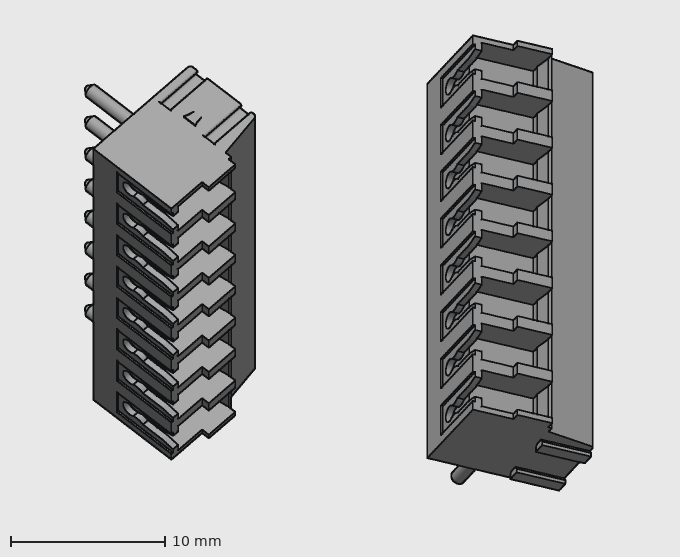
import cadquery as cq
import math

poles = 8
pitch = 3.5
body_height = poles * pitch
body_width = 6.95
body_depth = 9.15
pole_centres = [(pole + 0.5) * pitch for pole in range(poles)]

rear_band_depth = 3.5
rear_band_y = body_depth - rear_band_depth
slope_bottom_x = 6.45
slope_angle = 9.0
slope_top_x = slope_bottom_x - rear_band_depth * math.tan(math.radians(slope_angle))
ledge_step = 0.25
ledge_y = rear_band_y - ledge_step
rear_corner_radius = 0.25

tab_length = 0.6
tab_width = 2.5
tab_thickness = 0.8

pin_length = 4.5
pin_radius = 0.49
pin_y = ledge_y - tab_width / 2
pin_tip_length = 0.36
pin_tip_radius = 0.18

recess_left_x = 2.07
recess_height = 2.2
recess_depth = 0.15
keyhole_floor_y = 0.63
keyhole_centre_x = 3.06
keyhole_radius = 0.56
neck_start_angle = 50.0
neck_x = 3.67
neck_half_height = 0.39
channel_start_x = 4.28
channel_half_height = 0.56
flare_start_x = 6.0
flare_half_height = 0.75

chamber_start_x = 5.05
chamber_height = pitch - tab_thickness
chamber_ramp_x = 5.66
chamber_mouth_y = ledge_y
chamber_ramp_angle = 9.0
chamber_ramp_rise = (body_width - chamber_ramp_x) * math.tan(math.radians(chamber_ramp_angle))
chamber_back_y = chamber_mouth_y - chamber_ramp_rise
chamber_groove_sag = 0.04

rail_spacing = 3.9
first_groove_x = 1.07
first_rail_x = 1.1
groove_neck_width = 0.8
groove_lip_radius = 0.15
groove_undercut_width = 1.1
groove_base_radius = 0.18
groove_depth = 0.5
rail_height = 0.5
rail_neck_width = 0.66
rail_head_width = 1.02
rail_foot_width = 0.98
rail_shoulder_height = 0.25

bump_centre_x = 3.05
bump_height = 0.08
bump_front_y = 5.85
bump_crest_y = 6.1
bump_rear_y = 6.62
bump_foot_width = 1.06
bump_crest_width = 0.84
bump_rear_width = 0.68


def housing():
    outline = (
        cq.Workplane("XY")
        .moveTo(0, 0)
        .lineTo(body_width, 0)
        .lineTo(body_width, rear_band_y)
        .lineTo(slope_bottom_x, rear_band_y)
        .lineTo(slope_top_x, body_depth)
        .lineTo(0, body_depth)
        .close()
    )
    block = outline.extrude(body_height)
    return block.edges("|Z and >Y").fillet(rear_corner_radius)


def spacer_tabs():
    strip = cq.Workplane("XY").box(tab_length, tab_width, body_height, centered=False)
    strip = strip.translate((body_width, ledge_y - tab_width, 0))
    for z in pole_centres:
        gap = cq.Workplane("XY").box(tab_length, tab_width, chamber_height)
        strip = strip.cut(gap.translate((body_width + tab_length / 2, pin_y, z)))
    return strip


def pin(z):
    tip_x = -pin_length
    half_section = (
        cq.Workplane("XY")
        .moveTo(0, pin_y)
        .lineTo(0, pin_y - pin_radius)
        .lineTo(tip_x + pin_tip_length, pin_y - pin_radius)
        .lineTo(tip_x, pin_y - pin_tip_radius)
        .lineTo(tip_x, pin_y)
        .close()
    )
    solid = half_section.revolve(360, (0, pin_y, 0), (1, pin_y, 0))
    return solid.translate((0, 0, z))


def recess(z):
    length = body_width - recess_left_x
    block = cq.Workplane("XY").box(length, recess_depth, recess_height, centered=(False, False, True))
    return block.translate((recess_left_x, 0, z))


def keyhole(z):
    neck_start_x = keyhole_centre_x + keyhole_radius * math.cos(math.radians(neck_start_angle))
    neck_start_z = keyhole_radius * math.sin(math.radians(neck_start_angle))
    outline = (
        cq.Workplane("XZ")
        .moveTo(neck_start_x, -neck_start_z)
        .threePointArc((keyhole_centre_x - keyhole_radius, 0), (neck_start_x, neck_start_z))
        .threePointArc((neck_x, neck_half_height), (channel_start_x, channel_half_height))
        .lineTo(flare_start_x, channel_half_height)
        .lineTo(body_width, flare_half_height)
        .lineTo(body_width, -flare_half_height)
        .lineTo(flare_start_x, -channel_half_height)
        .lineTo(channel_start_x, -channel_half_height)
        .threePointArc((neck_x, -neck_half_height), (neck_start_x, -neck_start_z))
        .close()
    )
    return outline.extrude(-keyhole_floor_y).translate((0, 0, z))


def wire_chamber(z):
    groove_mid_x = (chamber_start_x + chamber_ramp_x) / 2
    groove_mid_y = chamber_back_y + chamber_groove_sag
    outline = (
        cq.Workplane("XY")
        .moveTo(chamber_start_x, keyhole_floor_y)
        .lineTo(chamber_start_x, chamber_back_y)
        .threePointArc((groove_mid_x, groove_mid_y), (chamber_ramp_x, chamber_back_y))
        .lineTo(body_width, chamber_mouth_y)
        .lineTo(body_width, keyhole_floor_y)
        .close()
    )
    return outline.extrude(chamber_height / 2, both=True).translate((0, 0, z))


def stacking_groove(x):
    half_neck = groove_neck_width / 2
    half_opening = half_neck + groove_lip_radius
    half_undercut = groove_undercut_width / 2
    half_floor = half_undercut - groove_base_radius
    neck_z = body_height - groove_lip_radius
    floor_z = body_height - groove_depth
    base_z = floor_z + groove_base_radius
    arc_offset = math.sqrt(0.5)
    lip_mid_x = half_opening - groove_lip_radius * arc_offset
    lip_mid_z = neck_z + groove_lip_radius * arc_offset
    base_mid_x = half_floor + groove_base_radius * arc_offset
    base_mid_z = base_z - groove_base_radius * arc_offset
    section = (
        cq.Workplane("XZ", origin=(x, rear_band_y, 0))
        .moveTo(-half_opening, body_height)
        .threePointArc((-lip_mid_x, lip_mid_z), (-half_neck, neck_z))
        .lineTo(-half_undercut, base_z)
        .threePointArc((-base_mid_x, base_mid_z), (-half_floor, floor_z))
        .lineTo(half_floor, floor_z)
        .threePointArc((base_mid_x, base_mid_z), (half_undercut, base_z))
        .lineTo(half_neck, neck_z)
        .threePointArc((lip_mid_x, lip_mid_z), (half_opening, body_height))
        .close()
    )
    return section.extrude(-rear_band_depth)


def stacking_rail(x):
    section = (
        cq.Workplane("XZ", origin=(x, rear_band_y, 0))
        .moveTo(-rail_neck_width / 2, 0)
        .lineTo(rail_neck_width / 2, 0)
        .lineTo(rail_head_width / 2, -rail_shoulder_height)
        .lineTo(rail_foot_width / 2, -rail_height)
        .lineTo(-rail_foot_width / 2, -rail_height)
        .lineTo(-rail_head_width / 2, -rail_shoulder_height)
        .close()
    )
    return section.extrude(-rear_band_depth)


def latch_bump():
    plan = (
        cq.Workplane("XY", origin=(bump_centre_x, 0, body_height))
        .moveTo(-bump_foot_width / 2, bump_front_y)
        .lineTo(bump_foot_width / 2, bump_front_y)
        .lineTo(bump_crest_width / 2, bump_crest_y)
        .lineTo(bump_rear_width / 2, bump_rear_y)
        .lineTo(-bump_rear_width / 2, bump_rear_y)
        .lineTo(-bump_crest_width / 2, bump_crest_y)
        .close()
        .extrude(bump_height)
    )
    slope = (
        cq.Workplane("YZ")
        .moveTo(bump_front_y, body_height)
        .lineTo(bump_front_y, body_height + bump_height)
        .lineTo(bump_crest_y, body_height + bump_height)
        .lineTo(bump_rear_y, body_height)
        .close()
        .extrude(body_width)
    )
    return plan.intersect(slope)


body = housing().union(spacer_tabs())
for z in pole_centres:
    body = body.cut(recess(z)).cut(keyhole(z)).cut(wire_chamber(z)).union(pin(z))
for x_offset in (0, rail_spacing):
    body = body.cut(stacking_groove(first_groove_x + x_offset))
    body = body.union(stacking_rail(first_rail_x + x_offset))

result = body.union(latch_bump())